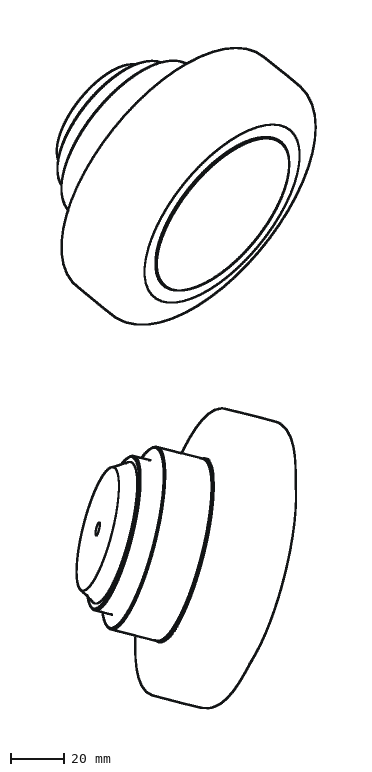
import cadquery as cq
import math

nose_end = 6.0
shoulder_face = 14.0
collar_end = 33.0
neck_end = 33.7
roller_start = 33.8
roller_end = 65.0
shaft_length = 65.5

nose_angle = 30.0
nose_base_radius = 27.5
nose_tip_radius = nose_base_radius - nose_end * math.tan(math.radians(nose_angle))
spigot_radius = 60.0 / 2
collar_radius = 71.0 / 2
neck_radius = 70.5 / 2
core_radius = 70.0 / 2
spigot_chamfer = 0.6
collar_chamfer = collar_radius - core_radius
shoulder_fillet = 0.5
end_chamfer = 0.3

hole_radius = 4.9 / 2
hole_depth = 10.1
drill_point_angle = 118.0
hole_tip_depth = hole_depth + hole_radius / math.tan(math.radians(drill_point_angle / 2))

roller_radius = 55.9
crown_drop = 0.1
roller_edge_radius = roller_radius - crown_drop
inner_rounding = 3.0
crown_end = 55.9
outer_rounding = 5.0
end_cone_angle = 20.0
bore_relief_radius = 71.5 / 2
bore_relief_depth = 0.7


def revolve_about_x(profile):
    """Turn a closed profile, drawn as (axial, radial) points, about the X axis."""
    return profile.close().revolve(360, (0, 0, 0), (1, 0, 0))


def make_shaft():
    profile = (
        cq.Workplane("XY")
        .moveTo(hole_tip_depth, 0)
        .lineTo(hole_depth, hole_radius)
        .lineTo(0, hole_radius)
        .lineTo(0, nose_tip_radius)
        .lineTo(nose_end, nose_base_radius)
        .lineTo(nose_end, spigot_radius - spigot_chamfer)
        .lineTo(nose_end + spigot_chamfer, spigot_radius)
        .lineTo(shoulder_face - shoulder_fillet, spigot_radius)
        .radiusArc((shoulder_face, spigot_radius + shoulder_fillet), -shoulder_fillet)
        .lineTo(shoulder_face, core_radius)
        .lineTo(shoulder_face + collar_chamfer, collar_radius)
        .lineTo(collar_end, collar_radius)
        .lineTo(collar_end, neck_radius)
        .lineTo(neck_end, neck_radius)
        .lineTo(neck_end, core_radius)
        .lineTo(shaft_length - end_chamfer, core_radius)
        .lineTo(shaft_length, core_radius - end_chamfer)
        .lineTo(shaft_length, 0)
    )
    return revolve_about_x(profile)


def make_roller():
    crown_start = roller_start + inner_rounding
    crown_middle = (crown_start + crown_end) / 2
    turn = math.radians(90 - end_cone_angle)
    cone_start = (
        crown_end + outer_rounding * math.sin(turn),
        roller_edge_radius - outer_rounding * (1 - math.cos(turn)),
    )
    end_face_radius = cone_start[1] - (roller_end - cone_start[0]) / math.tan(math.radians(end_cone_angle))
    profile = (
        cq.Workplane("XY")
        .moveTo(roller_start, bore_relief_radius)
        .lineTo(roller_start, roller_edge_radius - inner_rounding)
        .radiusArc((crown_start, roller_edge_radius), inner_rounding)
        .threePointArc((crown_middle, roller_radius), (crown_end, roller_edge_radius))
        .radiusArc(cone_start, outer_rounding)
        .lineTo(roller_end, end_face_radius)
        .lineTo(roller_end, core_radius)
        .lineTo(roller_start + bore_relief_depth, core_radius)
        .lineTo(roller_start + bore_relief_depth, bore_relief_radius)
    )
    return revolve_about_x(profile)


shaft = make_shaft()
roller = make_roller()

result = cq.Compound.makeCompound([shaft.val(), roller.val()])